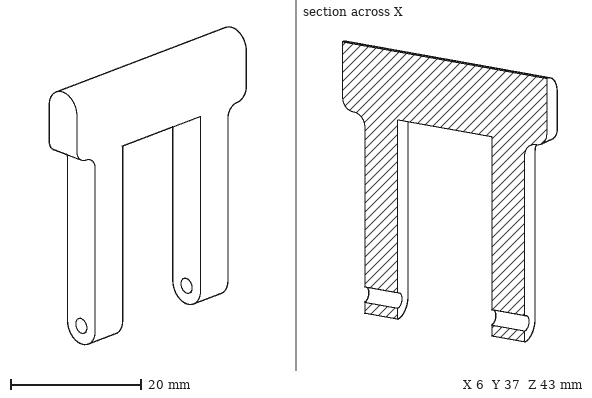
import cadquery as cq

thickness = 6.0
width = 37.0
height = 43.0

crossbar_height = 11.0
leg_width = 6.0
shoulder_step = 4.0
pin_hole_diameter = 2.4

end_radius = thickness / 2
shoulder_radius = shoulder_step / 2
half_width = width / 2
leg_outer = half_width - shoulder_step
leg_inner = leg_outer - leg_width
crossbar_bottom = height - crossbar_height
shoulder_middle = half_width - shoulder_radius


def fork_profile():
    """Two-legged outline in the YZ plane, with S-shaped shoulders."""
    return (
        cq.Workplane("YZ")
        .moveTo(-half_width, height)
        .lineTo(half_width, height)
        .lineTo(half_width, crossbar_bottom + shoulder_radius)
        .radiusArc((shoulder_middle, crossbar_bottom), shoulder_radius)
        .radiusArc((leg_outer, crossbar_bottom - shoulder_radius), -shoulder_radius)
        .lineTo(leg_outer, 0)
        .lineTo(leg_inner, 0)
        .lineTo(leg_inner, crossbar_bottom)
        .lineTo(-leg_inner, crossbar_bottom)
        .lineTo(-leg_inner, 0)
        .lineTo(-leg_outer, 0)
        .lineTo(-leg_outer, crossbar_bottom - shoulder_radius)
        .radiusArc((-shoulder_middle, crossbar_bottom), -shoulder_radius)
        .radiusArc((-half_width, crossbar_bottom + shoulder_radius), shoulder_radius)
        .close()
    )


def rounded_side_profile():
    """Slot-shaped outline in the XZ plane that rounds the top and leg ends."""
    return (
        cq.Workplane("XZ")
        .center(0, height / 2)
        .slot2D(height, thickness, 90)
    )


def pin_holes():
    """One cylinder through both legs, centred on their rounded ends."""
    return (
        cq.Workplane("XZ")
        .center(0, end_radius)
        .circle(pin_hole_diameter / 2)
        .extrude(half_width, both=True)
    )


fork = fork_profile().extrude(thickness / 2, both=True)
rounded_envelope = rounded_side_profile().extrude(half_width, both=True)
result = fork.intersect(rounded_envelope).cut(pin_holes())